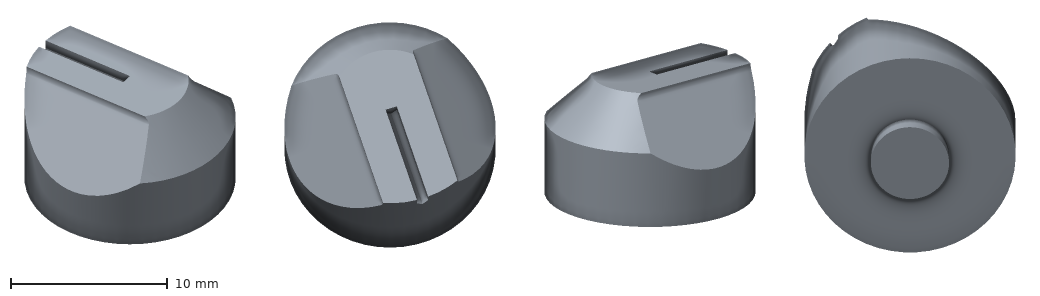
import cadquery as cq
import math

body_diameter = 13.5
body_height = 7.99
stem_diameter = 5.0
stem_length = 1.25

grip_width = 5.0
grip_wall_height = 0.07
flank_radius = 0.5
flank_angle = math.radians(45)

cone_top_radius = 3.74

groove_width = 0.75
groove_wall_depth = 0.62
groove_end_x = -0.25

body_radius = body_diameter / 2
half_grip = grip_width / 2


def make_body():
    """Round body with its top at z = body_height and a stem below z = 0."""
    body = cq.Workplane("XY").circle(body_radius).extrude(body_height)
    stem = cq.Workplane("XY").circle(stem_diameter / 2).extrude(-stem_length)
    return body.union(stem)


def flank_cutter(side):
    """Material beside the grip; side is +1 for +Y and -1 for -Y."""
    arc_top = body_height - grip_wall_height

    def arc_point(angle):
        out = half_grip + flank_radius * (1 - math.cos(angle))
        return side * out, arc_top - flank_radius * math.sin(angle)

    arc_end_y, arc_end_z = arc_point(flank_angle)
    outer_y = side * body_diameter
    drop = (body_diameter - abs(arc_end_y)) * math.tan(flank_angle)
    return (
        cq.Workplane("YZ")
        .moveTo(side * half_grip, body_height)
        .lineTo(side * half_grip, arc_top)
        .threePointArc(arc_point(flank_angle / 2), (arc_end_y, arc_end_z))
        .lineTo(outer_y, arc_end_z - drop)
        .lineTo(outer_y, body_height)
        .close()
        .extrude(body_radius, both=True)
    )


def cone_cutter():
    """Half ring on the +X side, whose inner face is a 45 degree cone."""
    cone_height = body_radius - cone_top_radius
    relief_half = cq.Workplane("XY").box(
        body_radius, body_diameter, body_height, centered=(False, True, False)
    )
    return (
        cq.Workplane("XZ")
        .moveTo(cone_top_radius, body_height)
        .lineTo(body_radius, body_height - cone_height)
        .lineTo(body_radius, body_height)
        .close()
        .revolve(360, (0, 0, 0), (0, 1, 0))
        .intersect(relief_half)
    )


def groove_cutter():
    """Groove running from the -X edge to near the middle, with a 90 degree V floor."""
    half_groove = groove_width / 2
    wall_foot = body_height - groove_wall_depth
    return (
        cq.Workplane("YZ", origin=(groove_end_x, 0, 0))
        .moveTo(-half_groove, body_height)
        .lineTo(-half_groove, wall_foot)
        .lineTo(0, wall_foot - half_groove)
        .lineTo(half_groove, wall_foot)
        .lineTo(half_groove, body_height)
        .close()
        .extrude(-body_radius)
    )


result = make_body()
for side in (-1, 1):
    result = result.cut(flank_cutter(side))
result = result.cut(cone_cutter()).cut(groove_cutter())